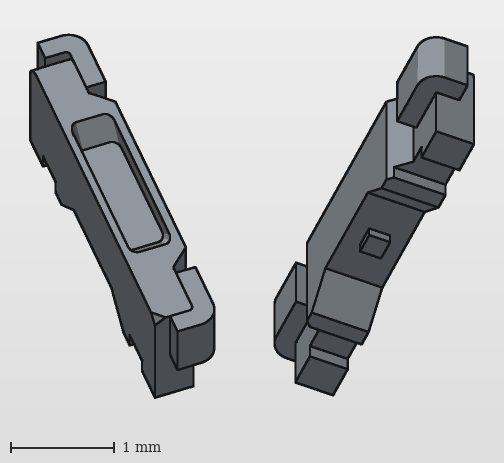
import cadquery as cq

LENGTH = 3.8
DEPTH = 0.6
HEIGHT = 1.2

PLATE = 0.2
TERMINAL_HEIGHT = 0.6
TERMINAL_LENGTH = 0.68
TERMINAL_WRAP = 0.445
INNER_RADIUS = 0.045

HOUSING_LENGTH = LENGTH - 2 * PLATE
HOUSING_DEPTH = DEPTH - PLATE
PAD_LENGTH = 1.915
PAD_SLOPE = 0.19
TOP_RADIUS = 0.198

BEVEL_X = 0.11
BEVEL_Y = 0.11
BEVEL_Z = 0.072

ARCH_BOTTOM = 1.685
ARCH_TOP = 1.022
ARCH_HEIGHT = 0.308
NOTCH_WIDTH = 0.335
NOTCH_HEIGHT = 0.16
NOTCH_OFFSET = 1.178

NUB_SIZE = 0.22
NUB_DROP = 0.103

POCKET_LENGTH = 1.71
POCKET_FLOOR = 1.315
POCKET_WIDTH = 0.43
POCKET_DEPTH = 0.2
POCKET_FRONT = 0.08
POCKET_RADIUS = 0.08


def trapezoid(bottom, top, z_bottom, z_top, y_start, width):
    """Symmetric trapezoid in XZ, extruded towards +Y."""
    points = [
        (-bottom / 2, z_bottom),
        (bottom / 2, z_bottom),
        (top / 2, z_top),
        (-top / 2, z_top),
    ]
    plane = cq.Workplane("XZ", origin=(0, y_start, 0))
    return plane.polyline(points).close().extrude(-width)


def block_from(x, y, z, size_x, size_y, size_z):
    """Box with its lowest corner at (x, y, z)."""
    box = cq.Workplane("XY").box(size_x, size_y, size_z, centered=False)
    return box.translate((x, y, z))


def make_terminal(side):
    """L-shaped terminal: side is -1 for the left end and 1 for the right end."""
    outer_x = -LENGTH / 2
    plate = block_from(
        outer_x, DEPTH - TERMINAL_WRAP, HEIGHT - TERMINAL_HEIGHT,
        TERMINAL_LENGTH, TERMINAL_WRAP, TERMINAL_HEIGHT,
    ).edges("|Z and <X and >Y").fillet(PLATE)
    inside = block_from(
        outer_x + PLATE, 0, 0, TERMINAL_LENGTH, HOUSING_DEPTH, HEIGHT
    ).edges("|Z and <X and >Y").fillet(INNER_RADIUS)
    terminal = plate.cut(inside)
    return terminal if side < 0 else terminal.mirror("YZ")


def make_blank():
    """Housing block with its rounded left top edge and the sloped rear pad."""
    block = block_from(-HOUSING_LENGTH / 2, 0, 0, HOUSING_LENGTH, HOUSING_DEPTH, HEIGHT)
    block = block.edges("|Y and <X and >Z").fillet(TOP_RADIUS)
    pad_points = [
        (-PAD_LENGTH / 2 - PAD_SLOPE, HOUSING_DEPTH),
        (PAD_LENGTH / 2 + PAD_SLOPE, HOUSING_DEPTH),
        (PAD_LENGTH / 2, DEPTH),
        (-PAD_LENGTH / 2, DEPTH),
    ]
    pad = cq.Workplane("XY").polyline(pad_points).close().extrude(HEIGHT)
    return block.union(pad)


def make_bevel():
    """Triangular pyramid that cuts the marked corner."""
    x = HOUSING_LENGTH / 2
    corner = cq.Vector(x, 0, HEIGHT)
    along_x = cq.Vector(x - BEVEL_X, 0, HEIGHT)
    along_y = cq.Vector(x, BEVEL_Y, HEIGHT)
    along_z = cq.Vector(x, 0, HEIGHT - BEVEL_Z)
    triangles = [
        (corner, along_x, along_y),
        (corner, along_y, along_z),
        (corner, along_z, along_x),
        (along_x, along_y, along_z),
    ]
    faces = [cq.Face.makeFromWires(cq.Wire.makePolygon(t, close=True)) for t in triangles]
    return cq.Workplane(cq.Solid.makeSolid(cq.Shell.makeShell(faces)))


def make_pocket():
    """Straight-sided pocket with sloping ends and rounded corners."""
    pocket = trapezoid(
        POCKET_FLOOR, POCKET_LENGTH, HEIGHT - POCKET_DEPTH, HEIGHT, POCKET_FRONT, POCKET_WIDTH
    )
    return pocket.faces("<X or >X").edges("not |Y").fillet(POCKET_RADIUS)


def make_housing(terminals):
    """Housing with all its cut-outs, seated against the terminals."""
    housing = make_blank()
    housing = housing.cut(make_bevel())
    housing = housing.cut(make_pocket())
    housing = housing.cut(trapezoid(ARCH_BOTTOM, ARCH_TOP, 0, ARCH_HEIGHT, 0, DEPTH))
    for side in (-1, 1):
        notch_x = side * NOTCH_OFFSET - NOTCH_WIDTH / 2
        housing = housing.cut(block_from(notch_x, 0, 0, NOTCH_WIDTH, DEPTH, NOTCH_HEIGHT))
    nub = block_from(
        -NUB_SIZE / 2, (DEPTH - NUB_SIZE) / 2, ARCH_HEIGHT - NUB_DROP,
        NUB_SIZE, NUB_SIZE, NUB_DROP,
    )
    housing = housing.union(nub)
    for terminal in terminals:
        housing = housing.cut(terminal)
    return housing


terminals = [make_terminal(side) for side in (-1, 1)]
housing = make_housing(terminals)
result = cq.Compound.makeCompound([housing.val(), *[terminal.val() for terminal in terminals]])